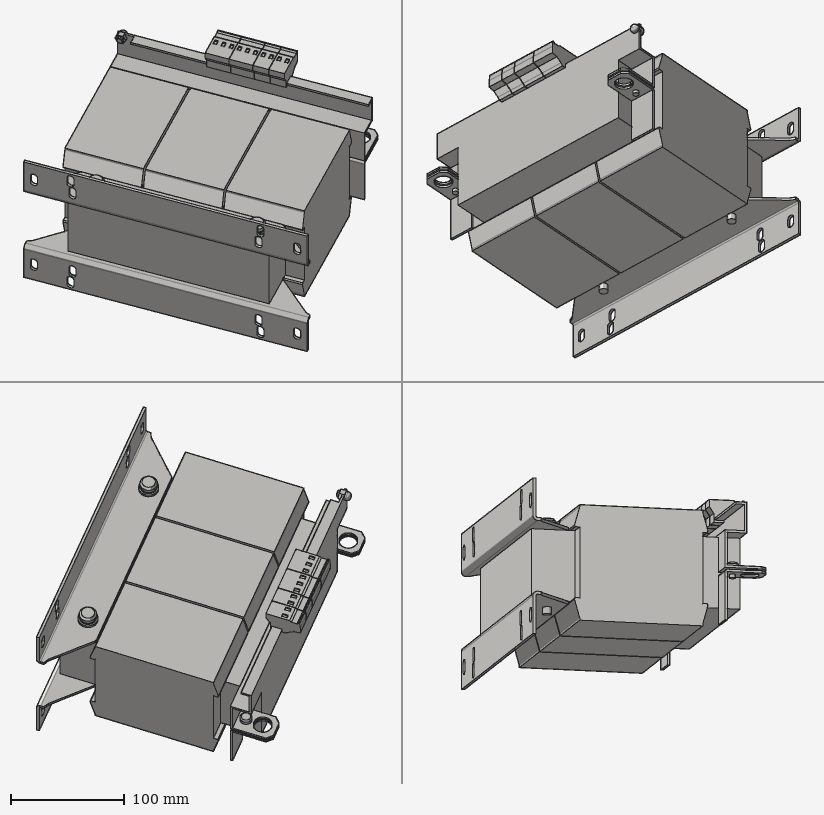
import cadquery as cq


CORE_HALF_HEIGHT = 31.8
LIMB_WIDTH = 38.0
LIMB_PITCH = 75.8
CORE_HALF_WIDTH = LIMB_PITCH + LIMB_WIDTH / 2
CORE_FRONT = 7.7
CORE_REAR = 196.8
YOKE_FRONT_INNER = 46.5
YOKE_REAR_INNER = 159.5

COIL_WIDTH = 74.0
COIL_HALF_HEIGHT = 51.8
COIL_FRONT = 47.3
COIL_REAR = 158.5
COIL_FLARE = 4.8
COIL_TIP_BEVEL = 0.8
COIL_TIP_HEIGHT = 1.3
COIL_LAND_HEIGHT = 2.0

FOOT_LENGTH = 267
FOOT_SHEET = 2.7
FOOT_HALF_SPAN = 69.7
FOOT_BEND_RADIUS = 4.0
FOOT_INNER_BEND_RADIUS = FOOT_BEND_RADIUS - FOOT_SHEET
FOOT_REAR = 41.5
FOOT_TAPER_END = (128.7, 9.3)
FOOT_SHOULDER = 7.0
FOOT_SLOT_LENGTH = 13.0
FOOT_SLOT_WIDTH = 6.7
FOOT_SLOTS = [(124.0, 51.3), (89.5, 61.0), (87.5, 47.3)]

FOOT_BOLT_Y = 26.7
FOOT_TOP = CORE_HALF_HEIGHT + FOOT_SHEET
WASHER_RADIUS = 8.8
WASHER_THICKNESS = 2.5
NECK_RADIUS = 7.2
NECK_HEIGHT = 1.5
HEAD_RADIUS = 7.7
HEAD_SIDE_HEIGHT = 4.0
HEAD_TOP_RADIUS = 6.0
HEAD_CROWN_HEIGHT = 2.1
SHANK_RADIUS = 4.0
SHANK_PROJECTION = 6.1

BRACKET_SHEET = 2.1
BRACKET_HALF_WIDTH = 119.5
BRACKET_FRONT = 177.0
BRACKET_TOP = CORE_HALF_HEIGHT + BRACKET_SHEET
RAIL_TOP = 59.5
RAIL_LIP_FRONT = 187.0
RAIL_LIP_START = -104.0
LUG_REAR = 215.5
LUG_CHAMFER = 5.0
LUG_HOLE_X = 106.8
LUG_HOLE_Y = 202.7
LUG_HOLE_RADIUS = 8.3
UPPER_LUG_BOTTOM = 0.3
LOWER_LUG_TOP = -1.3
LOWER_LUG_BEND_RADIUS = 2.5
LOWER_BRACKET_BOTTOM = -46.7

LUG_SCREW_Y = 187.0
LUG_SCREW_HEAD_RADIUS = 5.3
LUG_SCREW_HEAD_HEIGHT = 4.5
LUG_SCREW_HEAD_CHAMFER = 1.3
LUG_SCREW_RADIUS = 2.7
LUG_SCREW_BOTTOM = -6.7

EARTH_X = -115.5
EARTH_Z = 55.3
EARTH_NUT_FRONT = 191.5
EARTH_NUT_CORNERS = 10.1
EARTH_STUD_FRONT = 189.0
EARTH_STUD_RADIUS = 3.2
EARTH_STUD_CHAMFER = 0.8
EARTH_HEAD_RADIUS = 4.0
EARTH_HEAD_REAR = 201.9
EARTH_HEAD_ROUNDING = 3.5

POLE_PITCH = 7.5
POLES_PER_BLOCK = [3, 3, 2, 2]
STRIP_LEFT = -32.0
STRIP_TOP = 75.8
STRIP_PROFILE = [
    (181.5, STRIP_TOP),
    (203.7, STRIP_TOP),
    (205.5, 74.5),
    (210.7, 74.5),
    (212.0, STRIP_TOP),
    (213.0, STRIP_TOP),
    (214.0, 69.5),
    (214.0, 62.5),
    (207.7, 61.5),
    (202.5, 57.7),
    (200.2, 55.5),
    (185.5, 55.5),
    (185.5, 63.5),
    (181.5, 69.5),
]
JOINT_WIDTH = 0.3
JOINT_DEPTH = 0.3
POLE_POCKET_Y = 197.8
POLE_POCKET_WIDTH = 3.0
POLE_POCKET_LENGTH = 4.8
POLE_POCKET_DEPTH = 1.3


def box(x_range, y_range, z_range):
    """Block spanning the given ranges along X, Y and Z."""
    sizes = [high - low for low, high in (x_range, y_range, z_range)]
    corner = (x_range[0], y_range[0], z_range[0])
    return cq.Workplane("XY").box(*sizes, centered=False).translate(corner)


def extrude_along_x(profile, x_start, x_end):
    """Prism of a closed (Y, Z) outline between two X positions."""
    return cq.Workplane("YZ", origin=(x_start, 0, 0)).polyline(profile).close().extrude(x_end - x_start)


def cylinder_z(x, y, radius, z_bottom, z_top):
    return cq.Workplane("XY", origin=(x, y, z_bottom)).circle(radius).extrude(z_top - z_bottom)


def mirrored_in_x(body):
    return body.union(body.mirror("YZ"))


def make_core():
    core = box(
        (-CORE_HALF_WIDTH, CORE_HALF_WIDTH),
        (CORE_FRONT, CORE_REAR),
        (-CORE_HALF_HEIGHT, CORE_HALF_HEIGHT),
    )
    window = box(
        (LIMB_WIDTH / 2, LIMB_PITCH - LIMB_WIDTH / 2),
        (YOKE_FRONT_INNER, YOKE_REAR_INNER),
        (-CORE_HALF_HEIGHT, CORE_HALF_HEIGHT),
    )
    return core.cut(mirrored_in_x(window))


def make_coil(x_centre):
    """Coil whose ends flare out over the yokes above and below the core."""
    tip_bottom = CORE_HALF_HEIGHT
    tip_top = tip_bottom + COIL_TIP_HEIGHT
    land_bottom = COIL_HALF_HEIGHT - COIL_LAND_HEIGHT
    upper_half = [
        (COIL_FRONT, 0),
        (COIL_FRONT, tip_bottom),
        (COIL_FRONT - COIL_FLARE + COIL_TIP_BEVEL, tip_bottom),
        (COIL_FRONT - COIL_FLARE, tip_top),
        (COIL_FRONT, land_bottom),
        (COIL_FRONT, COIL_HALF_HEIGHT),
        (COIL_REAR, COIL_HALF_HEIGHT),
        (COIL_REAR, land_bottom),
        (COIL_REAR + COIL_FLARE, tip_top),
        (COIL_REAR + COIL_FLARE - COIL_TIP_BEVEL, tip_bottom),
        (COIL_REAR, tip_bottom),
        (COIL_REAR, 0),
    ]
    half = extrude_along_x(upper_half, x_centre - COIL_WIDTH / 2, x_centre + COIL_WIDTH / 2)
    return half.union(half.mirror("XY"))


def make_upper_foot():
    """Bent angle: tapered flange on the core and a slotted upright flange."""
    half_length = FOOT_LENGTH / 2
    angle_profile = [
        (0, CORE_HALF_HEIGHT),
        (FOOT_REAR, CORE_HALF_HEIGHT),
        (FOOT_REAR, FOOT_TOP),
        (FOOT_SHEET, FOOT_TOP),
        (FOOT_SHEET, FOOT_HALF_SPAN),
        (0, FOOT_HALF_SPAN),
    ]
    foot = extrude_along_x(angle_profile, -half_length, half_length)
    foot = foot.edges("|X and <Y and <Z").fillet(FOOT_BEND_RADIUS)
    inner_corner = cq.selectors.NearestToPointSelector((0, FOOT_SHEET, FOOT_TOP))
    foot = foot.edges(inner_corner).fillet(FOOT_INNER_BEND_RADIUS)
    taper_x, taper_y = FOOT_TAPER_END
    right_half = [
        (half_length, 0),
        (half_length, FOOT_SHOULDER),
        (taper_x, taper_y),
        (CORE_HALF_WIDTH, FOOT_REAR),
    ]
    left_half = [(-x, y) for x, y in reversed(right_half)]
    outline = cq.Workplane("XY").polyline(right_half + left_half).close().extrude(FOOT_HALF_SPAN)
    slots = (
        cq.Workplane("XZ")
        .pushPoints([(side * x, z) for x, z in FOOT_SLOTS for side in (-1, 1)])
        .slot2D(FOOT_SLOT_LENGTH, FOOT_SLOT_WIDTH, 90)
        .extrude(-FOOT_SHEET)
    )
    return foot.intersect(outline).cut(slots)


def make_foot_bolt():
    """Right-hand clamping bolt with washer, running down through the core."""
    neck_bottom = FOOT_TOP + WASHER_THICKNESS
    head_bottom = neck_bottom + NECK_HEIGHT
    crown_bottom = head_bottom + HEAD_SIDE_HEIGHT
    crown_top = crown_bottom + HEAD_CROWN_HEIGHT
    shank_bottom = -FOOT_TOP - SHANK_PROJECTION
    half_section = [
        (0, shank_bottom),
        (SHANK_RADIUS, shank_bottom),
        (SHANK_RADIUS, FOOT_TOP),
        (WASHER_RADIUS, FOOT_TOP),
        (WASHER_RADIUS, neck_bottom),
        (NECK_RADIUS, neck_bottom),
        (NECK_RADIUS, head_bottom),
        (HEAD_RADIUS, head_bottom),
        (HEAD_RADIUS, crown_bottom),
        (HEAD_TOP_RADIUS, crown_top),
        (0, crown_top),
    ]
    bolt = cq.Workplane("XZ").polyline(half_section).close().revolve(360, (0, 0, 0), (0, 1, 0))
    return bolt.translate((LIMB_PITCH, FOOT_BOLT_Y, 0))


def make_lug_plate(z_bottom):
    """Right-hand lifting lug with chamfered rear corners and a round eye."""
    plate = box(
        (CORE_HALF_WIDTH, BRACKET_HALF_WIDTH),
        (BRACKET_FRONT, LUG_REAR),
        (z_bottom, z_bottom + BRACKET_SHEET),
    )
    plate = plate.edges("|Z and >Y").chamfer(LUG_CHAMFER)
    eye = cylinder_z(LUG_HOLE_X, LUG_HOLE_Y, LUG_HOLE_RADIUS, z_bottom, z_bottom + BRACKET_SHEET)
    return plate.cut(eye)


def make_lugs():
    """Right-hand pair of lugs: one hangs from the rail bracket, one is a separate angle."""
    side = (CORE_HALF_WIDTH, BRACKET_HALF_WIDTH)
    web = (BRACKET_FRONT, BRACKET_FRONT + BRACKET_SHEET)
    upper = make_lug_plate(UPPER_LUG_BOTTOM).union(box(side, web, (UPPER_LUG_BOTTOM, BRACKET_TOP)))
    lower = make_lug_plate(LOWER_LUG_TOP - BRACKET_SHEET)
    lower = lower.union(box(side, web, (LOWER_BRACKET_BOTTOM, LOWER_LUG_TOP)))
    bend_edge = cq.selectors.NearestToPointSelector((sum(side) / 2, BRACKET_FRONT, LOWER_LUG_TOP))
    lower = lower.edges(bend_edge).fillet(LOWER_LUG_BEND_RADIUS)
    return upper.union(lower)


def make_lug_screw():
    seat = UPPER_LUG_BOTTOM + BRACKET_SHEET
    head = cylinder_z(LUG_HOLE_X, LUG_SCREW_Y, LUG_SCREW_HEAD_RADIUS, seat, seat + LUG_SCREW_HEAD_HEIGHT)
    head = head.faces(">Z").chamfer(LUG_SCREW_HEAD_CHAMFER)
    return head.union(cylinder_z(LUG_HOLE_X, LUG_SCREW_Y, LUG_SCREW_RADIUS, LUG_SCREW_BOTTOM, seat))


def make_rail():
    """Flange on the core, upright at its rear and a forward lip that stops short on the left."""
    full_width = (-BRACKET_HALF_WIDTH, BRACKET_HALF_WIDTH)
    upright_front = CORE_REAR - BRACKET_SHEET
    flange = box(full_width, (BRACKET_FRONT, CORE_REAR), (CORE_HALF_HEIGHT, BRACKET_TOP))
    upright = box(full_width, (upright_front, CORE_REAR), (CORE_HALF_HEIGHT, RAIL_TOP))
    lip = box(
        (RAIL_LIP_START, BRACKET_HALF_WIDTH),
        (RAIL_LIP_FRONT, CORE_REAR),
        (RAIL_TOP - BRACKET_SHEET, RAIL_TOP),
    )
    return flange.union(upright).union(lip)


def make_earth_screw():
    """Screw along Y through the rail upright: head behind, hexagon nut in front."""
    front_end = cq.Workplane("XZ", origin=(EARTH_X, EARTH_STUD_FRONT, EARTH_Z))
    stud = front_end.circle(EARTH_STUD_RADIUS).extrude(EARTH_STUD_FRONT - CORE_REAR)
    stud = stud.faces("<Y").chamfer(EARTH_STUD_CHAMFER)
    nut_face = cq.Workplane("XZ", origin=(EARTH_X, EARTH_NUT_FRONT, EARTH_Z))
    nut = nut_face.polygon(6, EARTH_NUT_CORNERS).extrude(EARTH_NUT_FRONT - CORE_REAR)
    head_seat = cq.Workplane("XZ", origin=(EARTH_X, CORE_REAR, EARTH_Z))
    head = head_seat.circle(EARTH_HEAD_RADIUS).extrude(CORE_REAR - EARTH_HEAD_REAR)
    head = head.faces(">Y").fillet(EARTH_HEAD_ROUNDING)
    return stud.union(nut).union(head)


def make_joint_groove(x_start):
    """Thin ring that follows the strip outline just below its surface."""
    outline = cq.Workplane("YZ", origin=(x_start, 0, 0)).polyline(STRIP_PROFILE).close()
    inset = outline.offset2D(-JOINT_DEPTH, "intersection").extrude(JOINT_WIDTH)
    return extrude_along_x(STRIP_PROFILE, x_start, x_start + JOINT_WIDTH).cut(inset)


def make_terminal_strip():
    """Row of terminal blocks with fine joints between them and one pocket per pole."""
    pole_count = sum(POLES_PER_BLOCK)
    strip_right = STRIP_LEFT + pole_count * POLE_PITCH
    strip = extrude_along_x(STRIP_PROFILE, STRIP_LEFT, strip_right)

    joint_x = STRIP_LEFT
    for poles in POLES_PER_BLOCK[:-1]:
        joint_x += poles * POLE_PITCH
        strip = strip.cut(make_joint_groove(joint_x - JOINT_WIDTH / 2))

    for pole in range(pole_count):
        pole_x = STRIP_LEFT + (pole + 0.5) * POLE_PITCH
        pocket = (
            cq.Workplane("XY", origin=(pole_x, POLE_POCKET_Y, STRIP_TOP))
            .rect(POLE_POCKET_WIDTH, POLE_POCKET_LENGTH)
            .extrude(-POLE_POCKET_DEPTH)
        )
        strip = strip.cut(pocket)
    return strip


result = make_core()
for coil_x in (-LIMB_PITCH, 0, LIMB_PITCH):
    result = result.union(make_coil(coil_x))

upper_foot = make_upper_foot()
result = result.union(upper_foot).union(upper_foot.mirror("XY"))
result = result.union(mirrored_in_x(make_foot_bolt()))

result = result.union(make_rail())
result = result.union(mirrored_in_x(make_lugs()))
result = result.union(mirrored_in_x(make_lug_screw()))
result = result.union(make_earth_screw())
result = result.union(make_terminal_strip())